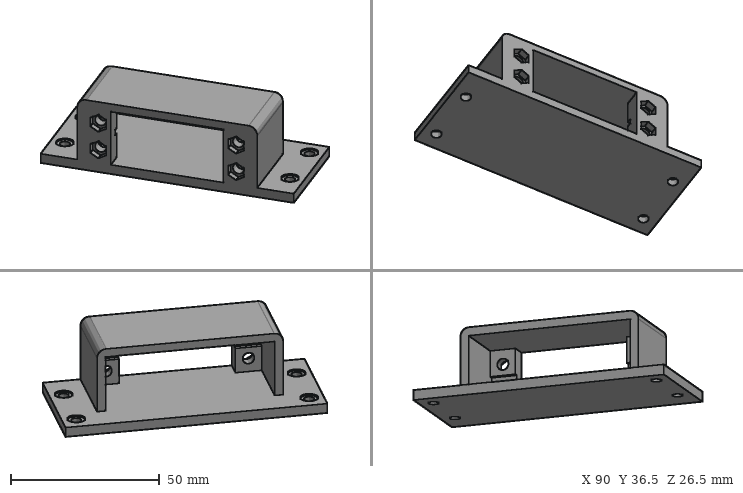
import cadquery as cq

plate_length = 90.0
plate_width = 36.5
plate_thickness = 3.5

housing_length = 64.0
housing_depth = 26.5
total_height = 26.5
corner_radius = 3.15
wall = 3.0

window_length = 40.0
front_wall = 6.0
cavity_length = housing_length - 2 * wall
cavity_height = total_height - wall - plate_thickness

groove_height = 2.0
groove_depth = 1.5

bolt_diameter = 4.0
bolt_spacing_x = 49.0
bolt_spacing_z = 10.0
bolt_middle_z = 13.4
nut_across_corners = 6.5
nut_depth = 2.4

mount_diameter = 3.5
mount_bore_diameter = 6.0
mount_bore_depth = 0.5
mount_spacing_x = 80.0
mount_spacing_y = 20.0
mount_middle_y = 20.5


def block(length, depth, height, front_y, bottom_z):
    """Box centred on X, starting at the given front and bottom."""
    solid = cq.Workplane("XY").box(length, depth, height, centered=(True, False, False))
    return solid.translate((0, front_y, bottom_z))


def make_body():
    plate = block(plate_length, plate_width, plate_thickness, 0, 0)
    housing = block(housing_length, housing_depth, total_height, 0, 0)
    housing = housing.edges("|Y and >Z").fillet(corner_radius)
    return plate.union(housing)


def cut_interior(body):
    """Cut the window and the cavity, which is open at the rear."""
    window = block(window_length, front_wall, cavity_height, 0, plate_thickness)
    cavity_depth = housing_depth - front_wall
    cavity = block(cavity_length, cavity_depth, cavity_height, front_wall, plate_thickness)
    return body.cut(window).cut(cavity)


def cut_bolt_holes(body):
    for x in (-bolt_spacing_x / 2, bolt_spacing_x / 2):
        for side in (-1, 1):
            z = bolt_middle_z + side * bolt_spacing_z / 2
            front = cq.Workplane("XZ", origin=(x, 0, z))
            hole = front.circle(bolt_diameter / 2).extrude(-front_wall)
            pocket = front.transformed(rotate=(0, 0, 90)).polygon(6, nut_across_corners).extrude(-nut_depth)
            body = body.cut(hole).cut(pocket)
    return body


def cut_rear_groove(body):
    """Cut the groove across the rear face of the front wall, on both sides of the window."""
    bottom_z = plate_thickness + (cavity_height - groove_height) / 2
    return body.cut(block(cavity_length, groove_depth, groove_height, front_wall - groove_depth, bottom_z))


def cut_mounting_holes(body):
    return (
        body.copyWorkplane(cq.Workplane("XY", origin=(0, mount_middle_y, plate_thickness)))
        .rarray(mount_spacing_x, mount_spacing_y, 2, 2)
        .cboreHole(mount_diameter, mount_bore_diameter, mount_bore_depth)
    )


body = make_body()
body = cut_interior(body)
body = cut_rear_groove(body)
body = cut_bolt_holes(body)
result = cut_mounting_holes(body)